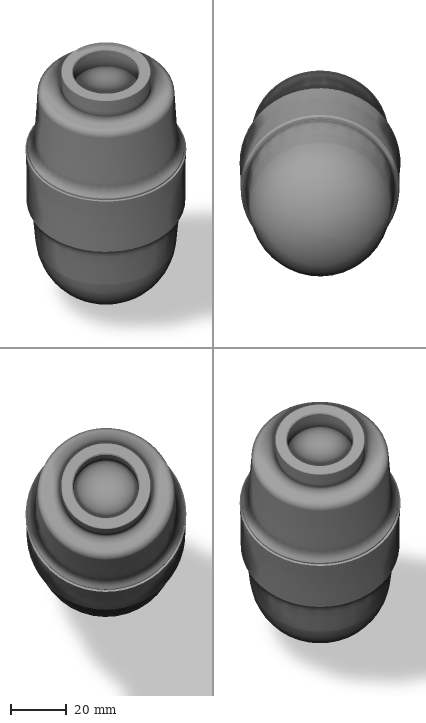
import cadquery as cq
import math

HEIGHT = 102.8

DOME_RADIUS = 25.4
SKIRT_TOP_RADIUS = 26.7
SKIRT_TOP_Z = 40.6

BAND_BOTTOM_Z = 40.9
BAND_SEAM_Z = 50.0
BAND_TOP_Z = 66.0
BAND_RADIUS = 28.5
LIP_DIAMETER = 57.7
BAND_CHAMFER_WIDTH = 0.5
BAND_CHAMFER_HEIGHT = 0.8
RELIEF = 0.3

STEP_RADIUS = 28.1
STEP_HEIGHT = 0.7
SHOULDER_CHAMFER = 0.7
FLARE_RADIUS = 5.3
FLARE_ANGLE = math.radians(45)

NECK_TOP_Z = 94.9
NECK_TOP_RADIUS = 24.5
NECK_EDGE_RADIUS = 2.5

SOCKET_RADIUS = 16.0
SOCKET_BASE_FILLET = 0.5
SOCKET_RIM_CHAMFER = 0.2
BORE_RADIUS = 11.8
BORE_CHAMFER = 0.4


def dome_tangent():
    """Radius, z and latitude where a line from the skirt top touches the dome sphere."""
    rise = SKIRT_TOP_Z - DOME_RADIUS
    distance = math.hypot(SKIRT_TOP_RADIUS, rise)
    angle = math.atan2(rise, SKIRT_TOP_RADIUS) - math.acos(DOME_RADIUS / distance)
    return DOME_RADIUS * math.cos(angle), DOME_RADIUS * (1 + math.sin(angle)), angle


def make_body():
    """Solid of revolution from the dome tip up to the flat top of the neck."""
    dome_edge_radius, dome_edge_z, dome_edge_angle = dome_tangent()
    dome_mid_angle = (dome_edge_angle - math.pi / 2) / 2
    dome_mid = (
        DOME_RADIUS * math.cos(dome_mid_angle),
        DOME_RADIUS * (1 + math.sin(dome_mid_angle)),
    )

    step_top_z = BAND_TOP_Z + STEP_HEIGHT
    flare_bottom_radius = STEP_RADIUS - SHOULDER_CHAMFER
    flare_bottom_z = step_top_z + SHOULDER_CHAMFER
    flare_top_radius = flare_bottom_radius - FLARE_RADIUS * (1 - math.cos(FLARE_ANGLE))
    flare_top_z = flare_bottom_z + FLARE_RADIUS * math.sin(FLARE_ANGLE)

    profile = (
        cq.Workplane("XZ")
        .moveTo(0, 0)
        .threePointArc(dome_mid, (dome_edge_radius, dome_edge_z))
        .lineTo(SKIRT_TOP_RADIUS, SKIRT_TOP_Z)
        .lineTo(SKIRT_TOP_RADIUS + RELIEF, BAND_BOTTOM_Z)
        .lineTo(BAND_RADIUS - BAND_CHAMFER_WIDTH, BAND_BOTTOM_Z)
        .lineTo(BAND_RADIUS, BAND_BOTTOM_Z + BAND_CHAMFER_HEIGHT)
        .lineTo(BAND_RADIUS, BAND_SEAM_Z)
        .lineTo(LIP_DIAMETER / 2, BAND_TOP_Z)
        .lineTo(STEP_RADIUS, BAND_TOP_Z)
        .lineTo(STEP_RADIUS, step_top_z)
        .lineTo(flare_bottom_radius, flare_bottom_z)
        .radiusArc((flare_top_radius, flare_top_z), FLARE_RADIUS)
        .lineTo(NECK_TOP_RADIUS, NECK_TOP_Z)
        .lineTo(0, NECK_TOP_Z)
        .close()
    )
    body = profile.revolve(360, (0, 0, 0), (0, 1, 0))
    return body.faces(">Z").edges().fillet(NECK_EDGE_RADIUS)


def add_socket(body):
    """Raise the socket from the neck, blend its foot and ease its outer rim."""
    socket = (
        cq.Workplane("XY", origin=(0, 0, NECK_TOP_Z))
        .circle(SOCKET_RADIUS)
        .extrude(HEIGHT - NECK_TOP_Z)
        .faces(">Z")
        .edges()
        .chamfer(SOCKET_RIM_CHAMFER)
    )
    foot_radius = SOCKET_RADIUS + SOCKET_BASE_FILLET
    foot_top_z = NECK_TOP_Z + SOCKET_BASE_FILLET
    foot = (
        cq.Workplane("XZ")
        .moveTo(0, NECK_TOP_Z)
        .lineTo(foot_radius, NECK_TOP_Z)
        .radiusArc((SOCKET_RADIUS, foot_top_z), SOCKET_BASE_FILLET)
        .lineTo(0, foot_top_z)
        .close()
        .revolve(360, (0, 0, 0), (0, 1, 0))
    )
    return body.union(socket).union(foot)


def cut_bore(body):
    """Bore the socket down to the top of the neck and chamfer the mouth."""
    bore = (
        cq.Workplane("XY", origin=(0, 0, NECK_TOP_Z))
        .circle(BORE_RADIUS)
        .extrude(HEIGHT - NECK_TOP_Z)
    )
    mouth = (
        cq.Workplane("XY", origin=(0, 0, HEIGHT - BORE_CHAMFER))
        .circle(BORE_RADIUS)
        .workplane(offset=BORE_CHAMFER)
        .circle(BORE_RADIUS + BORE_CHAMFER)
        .loft()
    )
    return body.cut(bore).cut(mouth)


result = cut_bore(add_socket(make_body()))